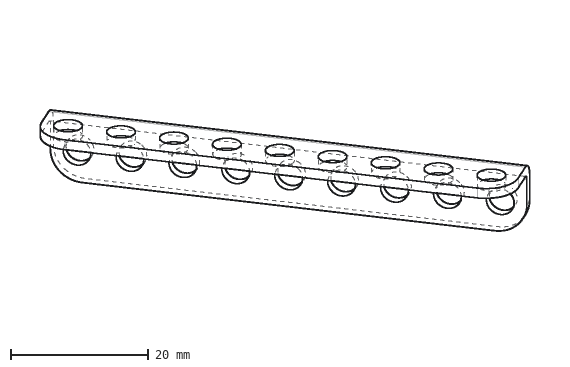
import cadquery as cq

length = 72.0
leg = 11.2
thickness = 1.6
inner_bend_radius = 0.8
corner_radius = 4.8
hole_diameter = 4.2
hole_count = 9
hole_pitch = 8.0
hole_from_heel = 6.4

outer_bend_radius = inner_bend_radius + thickness
half_leg = leg / 2
hole_offset = half_leg - hole_from_heel


def nearest_edge(offset):
    """Selector for the bend edge at equal Y and Z offsets."""
    return cq.selectors.NearestToPointSelector((0, offset, offset))


def bent_strip():
    """L-section along X, with its heel at +Y, +Z and a concentric bend."""
    section = (
        cq.Workplane("YZ")
        .moveTo(-half_leg, half_leg)
        .lineTo(half_leg, half_leg)
        .lineTo(half_leg, -half_leg)
        .lineTo(half_leg - thickness, -half_leg)
        .lineTo(half_leg - thickness, half_leg - thickness)
        .lineTo(-half_leg, half_leg - thickness)
        .close()
    )
    strip = section.extrude(length / 2, both=True)
    strip = strip.edges(nearest_edge(half_leg)).fillet(outer_bend_radius)
    return strip.edges(nearest_edge(half_leg - thickness)).fillet(inner_bend_radius)


def hole_row(plane):
    """Row of cutters along X, long enough to pass the leg lying on the plane."""
    return (
        cq.Workplane(plane)
        .center(0, hole_offset)
        .rarray(hole_pitch, 0.7, hole_count, 1)
        .circle(hole_diameter / 2)
        .extrude(leg, both=True)
    )


def leg_outline(plane, free_side, normal):
    """Leg outline with rounded free corners, extruded through the whole section."""
    blank = cq.Workplane(plane).rect(length, leg).extrude(leg, both=True)
    return blank.faces(free_side).edges(normal).fillet(corner_radius)


result = bent_strip()
for plane, free_side, normal in (("XY", "<Y", "|Z"), ("XZ", "<Z", "|Y")):
    result = result.intersect(leg_outline(plane, free_side, normal))
    result = result.cut(hole_row(plane))